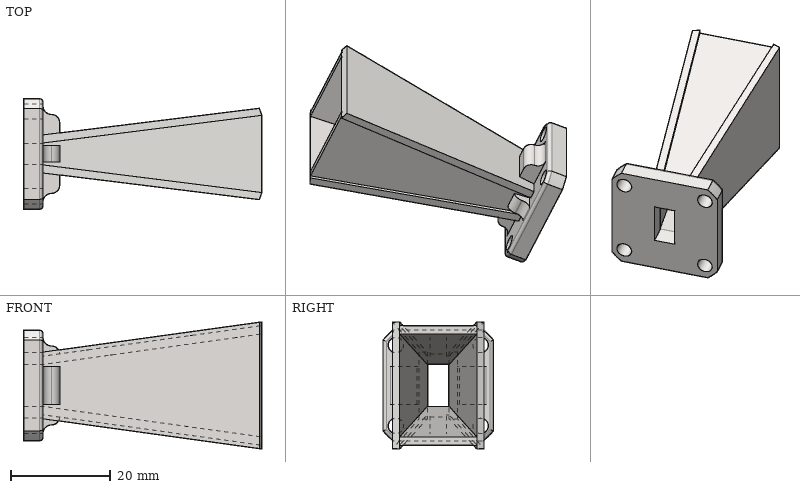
import cadquery as cq

flange_size = 22.25
flange_thickness = 3.95
flange_corner_diameter = 28.78
flange_edge_fillet = 0.7
hole_diameter = 3.05
hole_spacing_y = 17.03
hole_spacing_z = 16.25
bore_width = 4.2
bore_height = 8.45

horn_length = 47.95
side_plate_corner_x = 47.45
wall_inner_start_y = 2.2
wall_inner_end_y = 7.75
side_outer_start_y = 3.85
side_outer_end_y = 9.2
side_start_z = 6.7
side_end_z = 12.8
wall_outer_start_z = 5.9
wall_outer_end_z = 12.05
wall_inner_start_z = bore_height / 2
wall_inner_end_z = wall_inner_start_z + wall_outer_end_z - wall_outer_start_z

gusset_radius = 1.7
gusset_step = 7.95
side_gusset_width = 7.65
top_gusset_width = 3.3


def tapered_block(start_y, end_y, start_z, end_z):
    """Frustum around the X axis from the flange to the mouth, given half sizes."""
    return (
        cq.Workplane("YZ", origin=(flange_thickness, 0, 0))
        .rect(2 * start_y, 2 * start_z)
        .workplane(offset=horn_length - flange_thickness)
        .rect(2 * end_y, 2 * end_z)
        .loft(ruled=True)
    )


def make_flange_plate():
    plate = cq.Workplane("YZ").rect(flange_size, flange_size).extrude(flange_thickness)
    corner_trim = cq.Workplane("YZ").circle(flange_corner_diameter / 2).extrude(flange_thickness)
    return plate.intersect(corner_trim).faces(">X").edges().fillet(flange_edge_fillet)


def make_gusset_pair(width):
    """Two opposite gussets joined as one bar across the axis along Y."""
    mid_x = flange_thickness + gusset_radius
    end_x = mid_x + gusset_radius
    base_y = gusset_step + gusset_radius
    shoulder_y = gusset_step - gusset_radius
    half = (
        cq.Workplane("XY", origin=(0, 0, -width / 2))
        .moveTo(flange_thickness, 0)
        .lineTo(flange_thickness, base_y)
        .radiusArc((mid_x, gusset_step), -gusset_radius)
        .radiusArc((end_x, shoulder_y), gusset_radius)
        .lineTo(end_x, 0)
        .close()
        .extrude(width)
    )
    return half.union(half.mirror("XZ"))


def make_side_plate_pair():
    """Both side plates, bounded by the wall planes in Y and the flare in Z."""
    start_x = flange_thickness
    blank = (
        cq.Workplane("XY", origin=(0, 0, -side_end_z))
        .moveTo(start_x, wall_inner_start_y)
        .lineTo(horn_length, wall_inner_end_y)
        .lineTo(side_plate_corner_x, side_outer_end_y)
        .lineTo(start_x, side_outer_start_y)
        .close()
        .extrude(2 * side_end_z)
    )
    flare = (
        cq.Workplane("XZ", origin=(0, side_outer_end_y, 0))
        .moveTo(start_x, -side_start_z)
        .lineTo(horn_length, -side_end_z)
        .lineTo(horn_length, side_end_z)
        .lineTo(start_x, side_start_z)
        .close()
        .extrude(2 * side_outer_end_y)
    )
    plate = blank.intersect(flare)
    return [plate, plate.mirror("XZ")]


def make_flange_body(side_plates):
    """Flange with its gussets and the top and bottom horn walls."""
    walls = tapered_block(wall_inner_start_y, wall_inner_end_y, wall_outer_start_z, wall_outer_end_z)
    side_gussets = make_gusset_pair(side_gusset_width)
    top_gussets = make_gusset_pair(top_gusset_width).rotate((0, 0, 0), (1, 0, 0), 90)
    passage = tapered_block(wall_inner_start_y, wall_inner_end_y, wall_inner_start_z, wall_inner_end_z)
    bore = cq.Workplane("YZ").rect(bore_width, bore_height).extrude(flange_thickness)
    holes = (
        cq.Workplane("YZ")
        .rect(hole_spacing_y, hole_spacing_z, forConstruction=True)
        .vertices()
        .circle(hole_diameter / 2)
        .extrude(flange_thickness)
    )
    body = make_flange_plate().union(walls).union(side_gussets).union(top_gussets)
    body = body.cut(passage).cut(bore).cut(holes)
    for plate in side_plates:
        body = body.cut(plate)
    return body.solids()


side_plates = make_side_plate_pair()
flange = make_flange_body(side_plates)

result = cq.Compound.makeCompound([flange.val(), *[plate.solids().val() for plate in side_plates]])